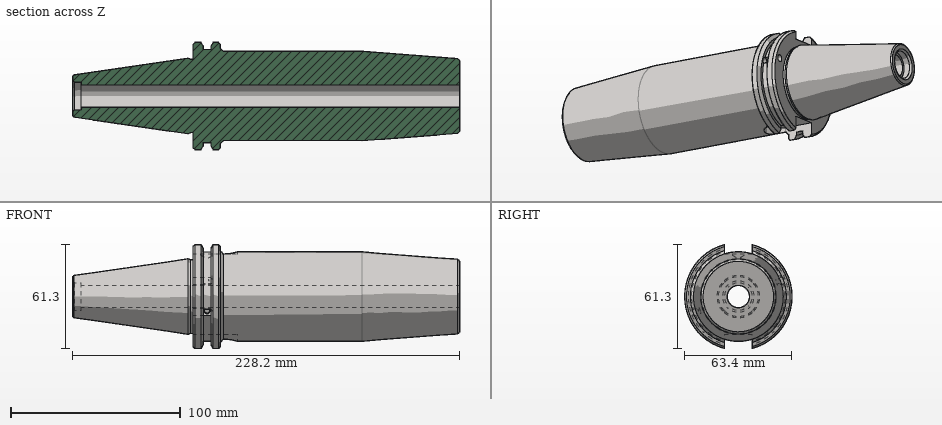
import cadquery as cq
import math

length = 228.2

taper_end_x = 68.0
taper_large_radius = 22.4
taper_ratio = 7 / 24
taper_small_radius = taper_large_radius - taper_ratio * taper_end_x / 2
taper_chamfer = 0.7
neck_radius = 43.5 / 2
neck_start_x = 69.5

flange_start_x = 70.8
flange_end_x = 87.0
flange_radius = 31.7
flange_front_chamfer_length = 1.4
flange_rear_chamfer_length = 1.0
flange_chamfer_height = 1.1
groove_center_x = 79.2
groove_radius = 27.6
groove_floor_width = 4.3
groove_mouth_width = 7.0
groove_edge_step = 1.8

body_radius = 53.0 / 2
body_chamfer = 1.8
nose_start_x = 170.5
nose_end_radius = 22.1
nose_chamfer = 1.4

bore_diameter = 13.0
entry_diameter = 16.2
entry_depth = 5.0
entry_chamfer = 1.1

slot_width = 16.2
slot_end_x = 97.2
upper_slot_floor = 25.0
lower_slot_floor = 22.4
dimple_diameter = 9.5

drill_point_angle = 118.0

coolant_angle = 20.0
coolant_circle_radius = 27.0
coolant_diameter = 4.0
outlet_diameter = 3.2
outlet_floor_radius = 24.0


def turned_blank():
    """Revolve the outer profile, including the flange and its groove."""
    half_floor = groove_floor_width / 2
    half_mouth = groove_mouth_width / 2
    shoulder_radius = flange_radius - flange_chamfer_height
    profile = [
        (0, 0),
        (0, taper_small_radius - taper_chamfer),
        (taper_chamfer, taper_small_radius + taper_ratio * taper_chamfer / 2),
        (taper_end_x, taper_large_radius),
        (neck_start_x, neck_radius),
        (flange_start_x, neck_radius),
        (flange_start_x, shoulder_radius),
        (flange_start_x + flange_front_chamfer_length, flange_radius),
        (groove_center_x - half_mouth, flange_radius),
        (groove_center_x - half_floor, groove_radius + groove_edge_step),
        (groove_center_x - half_floor, groove_radius),
        (groove_center_x + half_floor, groove_radius),
        (groove_center_x + half_floor, groove_radius + groove_edge_step),
        (groove_center_x + half_mouth, flange_radius),
        (flange_end_x - flange_rear_chamfer_length, flange_radius),
        (flange_end_x, shoulder_radius),
        (flange_end_x, body_radius + body_chamfer),
        (flange_end_x + body_chamfer, body_radius),
        (nose_start_x, body_radius),
        (length - nose_chamfer, nose_end_radius),
        (length, nose_end_radius - nose_chamfer),
        (length, 0),
    ]
    return cq.Workplane("XY").polyline(profile).close().revolve(360, (0, 0, 0), (1, 0, 0))


def axial_bore():
    """Through bore with a wider, chamfered entry at the taper end."""
    entry_radius = entry_diameter / 2
    bore_radius = bore_diameter / 2
    profile = [
        (0, 0),
        (0, entry_radius + entry_chamfer),
        (entry_chamfer, entry_radius),
        (entry_depth, entry_radius),
        (entry_depth, bore_radius),
        (length, bore_radius),
        (length, 0),
    ]
    return cq.Workplane("XY").polyline(profile).close().revolve(360, (0, 0, 0), (1, 0, 0))


def drive_slot(floor, side):
    """Round-ended slot at height floor on the +Z (side = 1) or -Z (side = -1) side."""
    half_width = slot_width / 2
    arc_center_x = slot_end_x - half_width
    return (
        cq.Workplane("XY", origin=(0, 0, side * floor))
        .moveTo(flange_start_x, -half_width)
        .lineTo(arc_center_x, -half_width)
        .threePointArc((slot_end_x, 0), (arc_center_x, half_width))
        .lineTo(flange_start_x, half_width)
        .close()
        .extrude(side * flange_radius)
    )


def drill_point(diameter, base, direction):
    """Cone left by a drill tip, from its base center along the direction."""
    radius = diameter / 2
    depth = radius / math.tan(math.radians(drill_point_angle / 2))
    return cq.Workplane(cq.Solid.makeCone(radius, 0, depth, base, direction))


def dimple():
    """Conical dimple in the floor of the upper slot."""
    base = cq.Vector(groove_center_x, 0, upper_slot_floor)
    return drill_point(dimple_diameter, base, cq.Vector(0, 0, -1))


def coolant_hole(angle):
    """Axial hole from the flange face into the groove, met by a radial outlet."""
    direction = cq.Vector(0, math.cos(math.radians(angle)), math.sin(math.radians(angle)))
    axial_start = direction * coolant_circle_radius + cq.Vector(flange_start_x, 0, 0)
    axial_length = groove_center_x + groove_floor_width / 2 - flange_start_x
    along_x = cq.Vector(1, 0, 0)
    axial = cq.Solid.makeCylinder(coolant_diameter / 2, axial_length, axial_start, along_x)
    point = drill_point(coolant_diameter, axial_start + along_x * axial_length, along_x)
    outlet_start = direction * outlet_floor_radius + cq.Vector(groove_center_x, 0, 0)
    outlet_length = groove_radius - outlet_floor_radius
    outlet = cq.Solid.makeCylinder(outlet_diameter / 2, outlet_length, outlet_start, direction)
    return cq.Workplane(axial).union(point).union(cq.Workplane(outlet))


result = turned_blank().cut(axial_bore())
result = result.cut(drive_slot(upper_slot_floor, 1)).cut(drive_slot(lower_slot_floor, -1))
result = result.cut(dimple())
for hole_angle in (coolant_angle, coolant_angle + 180):
    result = result.cut(coolant_hole(hole_angle))